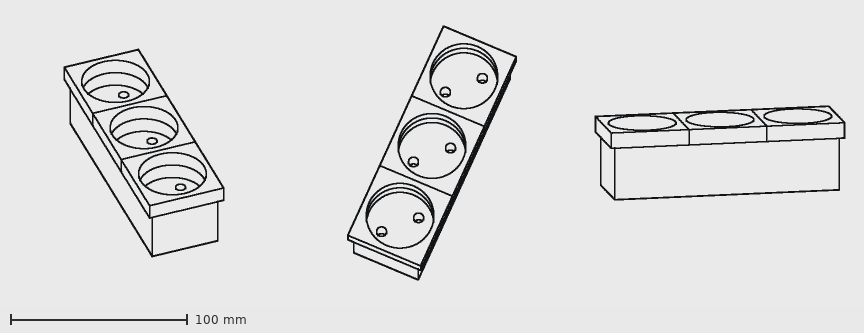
import cadquery as cq

module_count = 3
total_length = 135.0
module_side = total_length / module_count
total_height = 39.4
plate_thickness = 8.9
plate_overhang = 2.5

well_diameter = 38.3
well_depth = 18.0
contact_diameter = 5.7
contact_depth = 13.5
contact_offset = 8.0

base_length = total_length - 2 * plate_overhang
base_width = module_side - 2 * plate_overhang
base_height = total_height - plate_thickness
well_depth_in_base = well_depth - plate_thickness
well_floor_z = base_height - well_depth_in_base

module_centers = [
    ((index - (module_count - 1) / 2) * module_side, 0) for index in range(module_count)
]
contact_centers = [
    (x + side * contact_offset, y - side * contact_offset)
    for x, y in module_centers
    for side in (-1, 1)
]


def make_base():
    """Common block with a round well and two blind contact holes per module."""
    block = cq.Workplane("XY").box(base_length, base_width, base_height, centered=(True, True, False))
    wells = (
        cq.Workplane("XY", origin=(0, 0, well_floor_z))
        .pushPoints(module_centers)
        .circle(well_diameter / 2)
        .extrude(well_depth_in_base)
    )
    contact_holes = (
        cq.Workplane("XY", origin=(0, 0, well_floor_z - contact_depth))
        .pushPoints(contact_centers)
        .circle(contact_diameter / 2)
        .extrude(contact_depth)
    )
    return block.cut(wells).cut(contact_holes)


def make_cover_plate(center):
    """Square plate on top of the base, with a round opening over its well."""
    x, y = center
    return (
        cq.Workplane("XY", origin=(x, y, base_height))
        .rect(module_side, module_side)
        .circle(well_diameter / 2)
        .extrude(plate_thickness)
    )


base = make_base()
cover_plates = [make_cover_plate(center) for center in module_centers]

result = cq.Compound.makeCompound([base.val(), *[plate.val() for plate in cover_plates]])